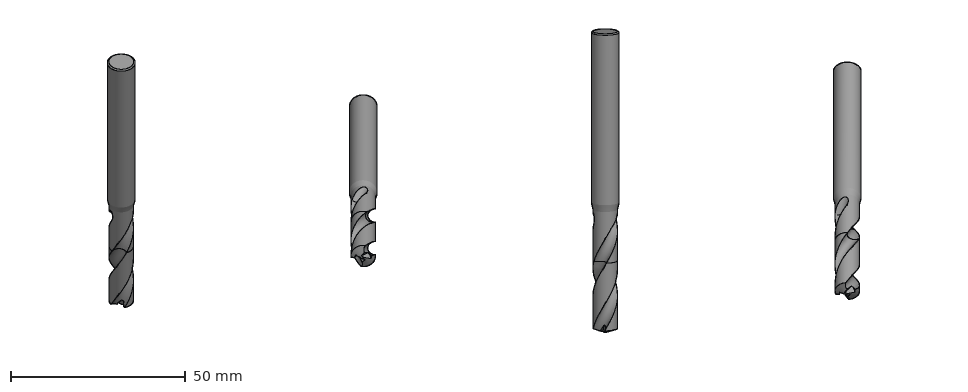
import cadquery as cq
import math

total_length = 88.0
split_z = 21.0
flute_end_z = 31.1
neck_z = 35.9
shank_z = 38.0

shank_radius = 4.0
body_radius = 3.5
top_chamfer_width = 0.4
top_chamfer_height = 0.35

point_angle = 140.0
point_height = body_radius / math.tan(math.radians(point_angle / 2))

flute_count = 2
flute_pitch = 37.75
flute_radius = 2.2
flute_offset = body_radius
flute_x_z = 27.5
flute_start_z = -0.9

runout_height = 5.3
runout_outward = 1.6
runout_sideways = 4.2

gash_root_z = 3.0
gash_root_x = 1.3
gash_edge_y = 0.3
gash_left_x = -1.1
gash_right_x = 2.55
gash_lean = 15.0
gash_depth = 3.5


def flute_angle(z):
    """Direction of the first flute, in degrees from +X, at height z."""
    return 360.0 * (z - flute_x_z) / flute_pitch


def helical_flute():
    height = flute_end_z - flute_start_z
    return (
        cq.Workplane("XY")
        .moveTo(flute_offset, 0)
        .circle(flute_radius)
        .twistExtrude(height, 360.0 * height / flute_pitch)
        .rotate((0, 0, 0), (0, 0, 1), flute_angle(flute_start_z))
        .translate((0, 0, flute_start_z))
    )


def flute_runout():
    """Oblique round prism that leans outward and in the winding direction of the flute."""
    direction = cq.Vector(runout_outward, runout_sideways, runout_height)
    outline = cq.Wire.makeCircle(flute_radius, cq.Vector(flute_offset, 0, 0), cq.Vector(0, 0, 1))
    prism = cq.Solid.extrudeLinear(outline, [], direction)
    return (
        cq.Workplane(prism)
        .rotate((0, 0, 0), (0, 0, 1), flute_angle(flute_end_z))
        .translate((0, 0, flute_end_z))
    )


def point_gash():
    """Triangular notch in the -Y side of the web, open at the point, with a leaning back wall."""
    return (
        cq.Workplane("XZ", origin=(0, -gash_edge_y, 0))
        .polyline([(gash_left_x, 0), (gash_root_x, gash_root_z), (gash_right_x, 0)])
        .close()
        .extrude(gash_depth)
        .rotate((0, -gash_edge_y, 0), (1, -gash_edge_y, 0), gash_lean)
    )


def cut_around_axis(body, cutter):
    """Cut one copy of the cutter for each flute, evenly spaced around the axis."""
    for index in range(flute_count):
        turn = index * 360.0 / flute_count
        body = body.cut(cutter.rotate((0, 0, 0), (0, 0, 1), turn))
    return body


def revolve_profile(points):
    return cq.Workplane("XZ").polyline(points).close().revolve(360, (0, 0, 0), (0, 1, 0))


def make_cutting_head():
    head = revolve_profile([(0, 0), (body_radius, point_height), (body_radius, split_z), (0, split_z)])
    head = cut_around_axis(head, helical_flute())
    return cut_around_axis(head, point_gash())


def make_shank():
    shank = revolve_profile([
        (0, split_z),
        (body_radius, split_z),
        (body_radius, neck_z),
        (shank_radius, shank_z),
        (shank_radius, total_length - top_chamfer_height),
        (shank_radius - top_chamfer_width, total_length),
        (0, total_length),
    ])
    shank = cut_around_axis(shank, helical_flute())
    return cut_around_axis(shank, flute_runout())


cutting_head = make_cutting_head()
shank = make_shank()
result = cq.Compound.makeCompound([cutting_head.val(), shank.val()])